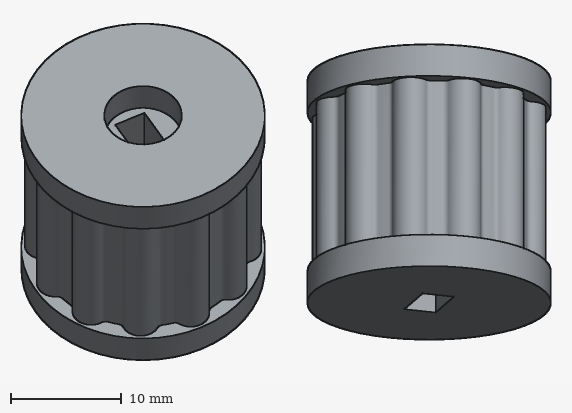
import cadquery as cq
import math

flange_diameter = 22.0
flange_thickness = 3.0
total_height = 21.0
recess_diameter = 7.0
recess_depth = flange_thickness
shaft_length_x = 5.0
shaft_width_y = 3.0

tooth_count = 12
tip_radius = 10.7
root_radius = 9.55
crown_radius = 1.7
fillet_radius = 0.62


def polar(radius, angle):
    """Point at a distance and an angle (radians) from the pulley axis."""
    return (radius * math.cos(angle), radius * math.sin(angle))


def toothed_outline():
    """Closed outline of crown, fillet, gap and fillet arcs around the axis."""
    pitch = 2 * math.pi / tooth_count
    crown_offset = tip_radius - crown_radius
    fillet_offset = root_radius + fillet_radius
    centre_gap = crown_radius + fillet_radius

    root_angle = math.acos(
        (crown_offset**2 + fillet_offset**2 - centre_gap**2) / (2 * crown_offset * fillet_offset)
    )
    fillet_x, fillet_y = polar(fillet_offset, root_angle)
    crown_angle = math.atan2(fillet_y, fillet_x - crown_offset)

    join_x = crown_offset + crown_radius * math.cos(crown_angle)
    join_y = crown_radius * math.sin(crown_angle)
    join_radius = math.hypot(join_x, join_y)
    join_angle = math.atan2(join_y, join_x)

    mid_direction = math.pi + (crown_angle + root_angle) / 2
    mid_x = fillet_x + fillet_radius * math.cos(mid_direction)
    mid_y = fillet_y + fillet_radius * math.sin(mid_direction)
    mid_radius = math.hypot(mid_x, mid_y)
    mid_angle = math.atan2(mid_y, mid_x)

    outline = cq.Workplane("XY").workplane(offset=flange_thickness)
    outline = outline.moveTo(*polar(join_radius, -join_angle))
    for tooth in range(tooth_count):
        here = tooth * pitch
        after = here + pitch
        outline = (
            outline.threePointArc(polar(tip_radius, here), polar(join_radius, here + join_angle))
            .threePointArc(polar(mid_radius, here + mid_angle), polar(root_radius, here + root_angle))
            .threePointArc(polar(root_radius, here + pitch / 2), polar(root_radius, after - root_angle))
            .threePointArc(polar(mid_radius, after - mid_angle), polar(join_radius, after - join_angle))
        )
    return outline.close()


def flange(bottom_z):
    """Plain disc with its lower face at the given height."""
    return cq.Workplane("XY").workplane(offset=bottom_z).circle(flange_diameter / 2).extrude(flange_thickness)


toothed_body = toothed_outline().extrude(total_height - 2 * flange_thickness)
pulley = flange(0).union(toothed_body).union(flange(total_height - flange_thickness))

shaft_hole = cq.Workplane("XY").rect(shaft_length_x, shaft_width_y).extrude(total_height)
recess = (
    cq.Workplane("XY")
    .workplane(offset=total_height - recess_depth)
    .circle(recess_diameter / 2)
    .extrude(recess_depth)
)

result = pulley.cut(shaft_hole).cut(recess)